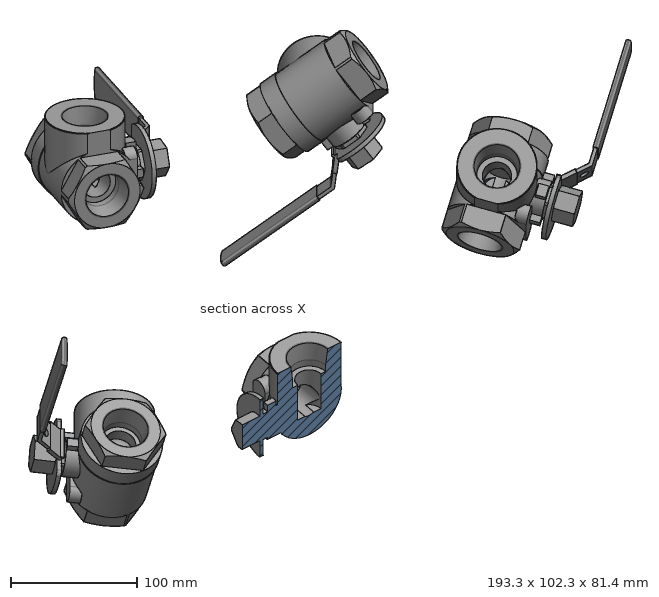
import cadquery as cq
import math


collar_diameter = 66.0
body_diameter = 64.4
branch_diameter = 63.8
left_end = -48.5
right_end = 48.3
collar_start = -32.3
collar_end = -17.4
body_end = 30.4
overall_height = 81.4
branch_top = overall_height - collar_diameter / 2
branch_chamfer = 0.5

hex_width = 55.9
hex_half_width = hex_width / 2
hex_half_width_low = 28.8
hex_chamfer_angle = math.radians(30)

mouth_diameter = 37.9
thread_diameter = 36.3
bore_diameter = 32.3
mouth_depth = 0.2
thread_depth = 16.0
bore_depth = 22.6

ball_radius = 19.3
passage_diameter = 23.0
seat_diameter = 25.0
passage_floor = -10.6
passage_start = -12.2

housing_base = 23.0
pad_top = collar_diameter / 2
boss_radius = 15.7
boss_top = 41.5
side_lug_reach = 20.9
side_lug_half_width = 3.7
upper_lug_reach = 20.5
upper_lug_half_width = 5.0

pad_x = 22.5
pad_diameter = 16.0
pad_half_spacing = 17.4

stem_hex_width = 27.3
stem_corner_diameter = 30.4
nut_circle = 30.0
nut_turn = 7.0
nut_top = 66.5
nut_chamfer = 0.5

plate_bottom = 45.5
plate_thickness = 3.7
plate_radius = 30.2
plate_left = -14.5
plate_corner_radius = 4.8
plate_top = plate_bottom + plate_thickness

bend_x = -16.5
slope_angle = math.radians(46)
tongue_length = 15.5
tongue_width = 27.3
strip_width = 23.5
strip_thickness = 3.0
strip_offset = 0.29
strip_insertion = 2.0
strip_hole_diameter = 7.5
strip_hole_y = 61.5
knee_radius = 2.0
lever_y = 67.0
tab_left = -19.0
tab_thickness = 2.0
tab_bottom = 43.9
tab_top = 47.0

grip_left = -145.0
grip_right = -49.1
grip_thickness = 4.6
grip_width = 27.3
grip_end_bulge = 1.7
grip_edge_radius = 2.0


def cylinder_x(diameter, x_start, x_end):
    return cq.Workplane("YZ", origin=(x_start, 0, 0)).circle(diameter / 2).extrude(x_end - x_start)


def cylinder_z(diameter, z_start, z_end):
    return cq.Workplane("XY", origin=(0, 0, z_start)).circle(diameter / 2).extrude(z_end - z_start)


def stem_plane(y):
    """Plane across the stem at height y: local x is X, local y is -Z, normal is +Y."""
    return cq.Workplane(cq.Plane(origin=(0, y, 0), xDir=(1, 0, 0), normal=(0, 1, 0)))


def block(x_range, y_range, z_range):
    sizes = [high - low for low, high in (x_range, y_range, z_range)]
    corner = (x_range[0], y_range[0], z_range[0])
    return cq.Workplane("XY", origin=corner).box(*sizes, centered=False)


def hex_end(inner_x, outer_x, limit_diameter):
    """Hexagonal run end with a conical chamfer, trimmed to the round stock beside it."""
    cos30 = math.cos(math.radians(30))
    upper_corner = hex_half_width / cos30
    lower_corner = -hex_half_width_low / cos30
    upper_shoulder = upper_corner / 2
    lower_shoulder = -(hex_half_width_low - hex_half_width / 2) / cos30
    outline = [
        (upper_corner, 0),
        (upper_shoulder, hex_half_width),
        (lower_shoulder, hex_half_width),
        (lower_corner, 0),
        (lower_shoulder, -hex_half_width),
        (upper_shoulder, -hex_half_width),
    ]
    prism = cq.Workplane("YZ", origin=(inner_x, 0, 0)).polyline(outline).close().extrude(outer_x - inner_x)
    limit_radius = limit_diameter / 2
    chamfer_length = (limit_radius - hex_half_width) * math.tan(hex_chamfer_angle)
    inward = math.copysign(chamfer_length, inner_x - outer_x)
    envelope = (
        cq.Workplane("XY")
        .polyline([
            (inner_x, 0),
            (inner_x, limit_radius),
            (outer_x + inward, limit_radius),
            (outer_x, hex_half_width),
            (outer_x, 0),
        ])
        .close()
        .revolve(360, (0, 0, 0), (1, 0, 0))
    )
    return prism.intersect(envelope)


def make_body():
    collar = cylinder_x(collar_diameter, collar_start, collar_end)
    barrel = cylinder_x(body_diameter, collar_end, body_end)
    branch = cylinder_z(branch_diameter, 0, branch_top).faces(">Z").chamfer(branch_chamfer)
    beyond_barrel = block(
        (body_end, branch_diameter), (-branch_diameter, branch_diameter), (0, branch_top)
    )
    left_hex = hex_end(collar_start, left_end, collar_diameter)
    right_hex = hex_end(body_end, right_end, body_diameter)
    return collar.union(barrel).union(branch.cut(beyond_barrel)).union(left_hex).union(right_hex)


def port_cutter():
    """Threaded socket opening at the XY plane and running down along -Z."""
    return (
        cq.Workplane("XZ")
        .polyline([
            (0, 0),
            (mouth_diameter / 2, 0),
            (thread_diameter / 2, -mouth_depth),
            (bore_diameter / 2, -thread_depth),
            (bore_diameter / 2, -bore_depth),
            (0, -bore_depth),
        ])
        .close()
        .revolve(360, (0, 0, 0), (0, 1, 0))
    )


def make_passages():
    socket = port_cutter()
    branch_socket = socket.translate((0, 0, branch_top))
    left_socket = socket.rotate((0, 0, 0), (0, 1, 0), -90).translate((left_end, 0, 0))
    right_socket = socket.rotate((0, 0, 0), (0, 1, 0), 90).translate((right_end, 0, 0))
    ball = cq.Workplane("XY").sphere(ball_radius)
    left_seat = cylinder_x(seat_diameter, left_end, 0).cut(ball)
    down_passage = cylinder_z(passage_diameter, passage_floor, branch_top)
    right_passage = cylinder_x(passage_diameter, passage_start, right_end)
    cutter = branch_socket.union(left_socket).union(right_socket)
    return cutter.union(left_seat).union(down_passage).union(right_passage)


def make_stem_housing():
    lug_y = (pad_top, boss_top)
    boss = stem_plane(housing_base).circle(boss_radius).extrude(boss_top - housing_base)
    side_lugs = block(
        (-side_lug_reach, side_lug_reach), lug_y, (-side_lug_half_width, side_lug_half_width)
    )
    upper_lug = block((-upper_lug_half_width, upper_lug_half_width), lug_y, (0, upper_lug_reach))
    pad = (
        stem_plane(housing_base)
        .center(pad_x, 0)
        .slot2D(2 * pad_half_spacing + pad_diameter, pad_diameter, 90)
        .extrude(pad_top - housing_base)
    )
    pad = pad.intersect(block((0, body_end), (0, boss_top), (-branch_top, branch_top)))
    return boss.union(side_lugs).union(upper_lug).union(pad)


def make_stem_and_nut():
    height = plate_bottom - boss_top
    corner_diameter = stem_hex_width / math.cos(math.radians(30))
    hexagon = stem_plane(boss_top).polygon(6, corner_diameter).extrude(height)
    stem = hexagon.intersect(stem_plane(boss_top).circle(stem_corner_diameter / 2).extrude(height))
    nut_height = nut_top - plate_top
    nut = stem_plane(plate_top).polygon(6, nut_circle).extrude(nut_height)
    nut = nut.rotate((0, 0, 0), (0, 1, 0), nut_turn)
    nut_envelope = stem_plane(plate_top).circle(nut_circle / 2).extrude(nut_height)
    nut = nut.intersect(nut_envelope.faces(">Y or <Y").chamfer(nut_chamfer))
    return stem.union(nut)


def make_stop_plate():
    disc = stem_plane(plate_bottom).circle(plate_radius).extrude(plate_thickness)
    kept_side = block(
        (plate_left, plate_radius), (plate_bottom, plate_top), (-plate_radius, plate_radius)
    )
    return disc.intersect(kept_side).edges("|Y and <X").fillet(plate_corner_radius)


def slope_point(offset, along):
    """Point on the lever slope: offset above its underside, along it from the bend."""
    cosine = math.cos(slope_angle)
    sine = math.sin(slope_angle)
    return (bend_x + offset * sine - along * cosine, plate_bottom + offset * cosine + along * sine)


def slope_point_at(offset, y):
    """Point where the slope line at the given offset reaches height y."""
    along = (y - plate_bottom - offset * math.cos(slope_angle)) / math.sin(slope_angle)
    return slope_point(offset, along)


def side_profile(points, width):
    return cq.Workplane("XY", origin=(0, 0, -width / 2)).polyline(points).close().extrude(width)


def make_lever():
    tongue = side_profile(
        [
            (0, plate_bottom),
            slope_point(0, 0),
            slope_point(0, tongue_length),
            slope_point(plate_thickness, tongue_length),
            slope_point_at(plate_thickness, plate_top),
            (0, plate_top),
        ],
        tongue_width,
    )
    tab = block(
        (tab_left, tab_left + tab_thickness),
        (tab_bottom, tab_top),
        (-tongue_width / 2, tongue_width / 2),
    )
    strip_low = lever_y - strip_thickness / 2
    strip_high = lever_y + strip_thickness / 2
    strip_upper_offset = strip_offset + strip_thickness
    strip = side_profile(
        [
            slope_point(strip_offset, tongue_length / 2),
            slope_point_at(strip_offset, strip_low),
            (grip_right - strip_insertion, strip_low),
            (grip_right - strip_insertion, strip_high),
            slope_point_at(strip_upper_offset, strip_high),
            slope_point(strip_upper_offset, tongue_length / 2),
        ],
        strip_width,
    )
    knee = (*slope_point_at(strip_offset, strip_low), 0)
    strip = strip.edges(cq.NearestToPointSelector(knee)).fillet(knee_radius)
    hole_x, hole_y = slope_point_at(strip_offset, strip_hole_y)
    hole_plane = cq.Plane(
        origin=(hole_x, hole_y, 0),
        xDir=(0, 0, 1),
        normal=(math.sin(slope_angle), math.cos(slope_angle), 0),
    )
    hole = cq.Workplane(hole_plane).circle(strip_hole_diameter / 2).extrude(2 * strip_thickness, both=True)
    return tongue.union(tab).union(strip.cut(hole)).union(make_grip())


def make_grip():
    half_width = grip_width / 2
    shoulder = grip_left + grip_end_bulge
    grip = (
        stem_plane(lever_y - grip_thickness / 2)
        .moveTo(grip_right, -half_width)
        .lineTo(shoulder, -half_width)
        .threePointArc((grip_left, 0), (shoulder, half_width))
        .lineTo(grip_right, half_width)
        .close()
        .extrude(grip_thickness)
    )
    return grip.faces("<Y or >Y").edges("not >X").fillet(grip_edge_radius)


result = (
    make_body()
    .union(make_stem_housing())
    .cut(make_passages())
    .union(make_stem_and_nut())
    .union(make_stop_plate())
    .union(make_lever())
)